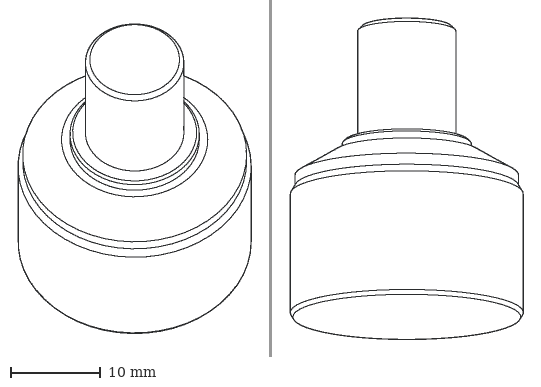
import cadquery as cq

total_height = 33.0

housing_diameter = 26.0
foot_chamfer_height = 0.5
foot_chamfer_inset = 0.3
housing_shoulder_z = 14.0
housing_top_z = 14.85

cap_diameter = 25.0
cap_rim_z = 16.1
cap_top_z = 18.72
cap_top_diameter = 16.3

collar_diameter = 14.43
collar_top_z = 20.0
collar_chamfer = 0.3
shank_diameter = 11.0
shank_chamfer = 0.5


def make_housing():
    """Base with a chamfered foot and a shoulder that narrows to the cap diameter."""
    shoulder_height = housing_top_z - housing_shoulder_z
    shoulder_inset = (housing_diameter - cap_diameter) / 2
    return (
        cq.Workplane("XY")
        .circle(housing_diameter / 2)
        .extrude(housing_top_z)
        .faces("<Z")
        .edges()
        .chamfer(foot_chamfer_height, foot_chamfer_inset)
        .faces(">Z")
        .edges()
        .chamfer(shoulder_height, shoulder_inset)
    )


def make_cap():
    """Straight rim with a cone above it, revolved about the Z axis."""
    return (
        cq.Workplane("XZ")
        .moveTo(0, housing_top_z)
        .lineTo(cap_diameter / 2, housing_top_z)
        .lineTo(cap_diameter / 2, cap_rim_z)
        .lineTo(cap_top_diameter / 2, cap_top_z)
        .lineTo(0, cap_top_z)
        .close()
        .revolve(360, (0, 0), (0, 1))
    )


def make_stud():
    """Collar and shank in one piece, each with a chamfered top edge."""
    collar = (
        cq.Workplane("XY")
        .workplane(offset=cap_top_z)
        .circle(collar_diameter / 2)
        .extrude(collar_top_z - cap_top_z)
        .faces(">Z")
        .chamfer(collar_chamfer)
    )
    shank = (
        cq.Workplane("XY")
        .workplane(offset=collar_top_z)
        .circle(shank_diameter / 2)
        .extrude(total_height - collar_top_z)
        .faces(">Z")
        .chamfer(shank_chamfer)
    )
    return collar.union(shank)


housing = make_housing()
cap = make_cap()
stud = make_stud()

result = cq.Compound.makeCompound([body.solids().val() for body in (housing, cap, stud)])